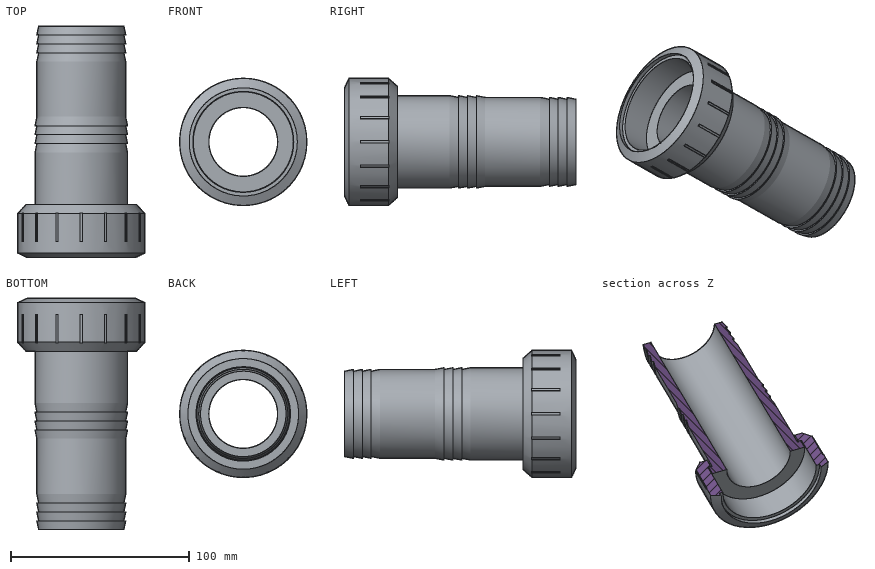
import cadquery as cq

TOTAL_LENGTH = 130.0
Y_FRONT = -TOTAL_LENGTH / 2
Y_BACK = TOTAL_LENGTH / 2

NUT_DIAMETER = 71.5
NUT_LENGTH = 29.9
MOUTH_DIAMETER = 60.7
MOUTH_DEPTH = 2.3
NUT_BORE_DIAMETER = 56.7
NUT_HOLE_DIAMETER = 53.0
NUT_BACK_DIAMETER = 62.1
FRONT_CHAMFER_LENGTH = 2.6
BACK_CHAMFER_LENGTH = 5.2

GROOVE_COUNT = 16
GROOVE_WIDTH = 1.3
GROOVE_DEPTH = 0.4
GROOVE_START = 9.1

TAIL_BORE_DIAMETER = 38.5
FLANGE_DIAMETER = 56.2
FLANGE_FACE_DEPTH = 18.5
FLANGE_THICKNESS = 5.7
LARGE_DIAMETER = 52.0
SMALL_DIAMETER = 50.0
TIP_DIAMETER = 48.0

BARB_COUNT = 4
BARB_PITCH = 5.0
LARGE_BARBS_START = Y_FRONT + 59.0
SMALL_BARBS_START = Y_BACK - BARB_COUNT * BARB_PITCH

Y_FLANGE_FACE = Y_FRONT + FLANGE_FACE_DEPTH
Y_SHOULDER = Y_FLANGE_FACE + FLANGE_THICKNESS


def turned(outline):
    """Revolve (radius, y) points about the Y axis."""
    return cq.Workplane("XY").polyline(outline).close().revolve(360, (0, 0), (0, 1))


def make_nut_blank():
    y_back = Y_FRONT + NUT_LENGTH
    y_ledge = Y_FRONT + MOUTH_DEPTH
    return turned([
        (MOUTH_DIAMETER / 2, Y_FRONT),
        (NUT_DIAMETER / 2, Y_FRONT + FRONT_CHAMFER_LENGTH),
        (NUT_DIAMETER / 2, y_back - BACK_CHAMFER_LENGTH),
        (NUT_BACK_DIAMETER / 2, y_back),
        (NUT_HOLE_DIAMETER / 2, y_back),
        (NUT_HOLE_DIAMETER / 2, Y_SHOULDER),
        (NUT_BORE_DIAMETER / 2, Y_SHOULDER),
        (NUT_BORE_DIAMETER / 2, y_ledge),
        (MOUTH_DIAMETER / 2, y_ledge),
    ])


def make_groove_cutter(angle):
    """Bar along Y that runs out through the back chamfer, turned to its place on the rim."""
    floor_radius = NUT_DIAMETER / 2 - GROOVE_DEPTH
    return (
        cq.Workplane("XY")
        .box(GROOVE_WIDTH, NUT_LENGTH - GROOVE_START, 2 * GROOVE_DEPTH, centered=(True, False, False))
        .translate((0, Y_FRONT + GROOVE_START, floor_radius))
        .rotate((0, 0, 0), (0, 1, 0), angle)
    )


def make_nut():
    nut = make_nut_blank()
    for index in range(GROOVE_COUNT):
        nut = nut.cut(make_groove_cutter(index * 360 / GROOVE_COUNT))
    return nut


def barb_points(y_start, root_diameter, crest_diameter):
    """Sawtooth outline of one barb group, listed towards +Y."""
    points = []
    for index in range(BARB_COUNT):
        y_crest = y_start + index * BARB_PITCH
        points.append((crest_diameter / 2, y_crest))
        points.append((root_diameter / 2, y_crest + BARB_PITCH))
    return points


def make_tail():
    outline = [
        (TAIL_BORE_DIAMETER / 2, Y_FLANGE_FACE),
        (FLANGE_DIAMETER / 2, Y_FLANGE_FACE),
        (FLANGE_DIAMETER / 2, Y_SHOULDER),
        (LARGE_DIAMETER / 2, Y_SHOULDER),
    ]
    outline += barb_points(LARGE_BARBS_START, SMALL_DIAMETER, LARGE_DIAMETER)
    outline += barb_points(SMALL_BARBS_START, TIP_DIAMETER, SMALL_DIAMETER)
    outline.append((TAIL_BORE_DIAMETER / 2, Y_BACK))
    return turned(outline)


nut = make_nut()
tail = make_tail()

result = cq.Compound.makeCompound([nut.val(), tail.val()])